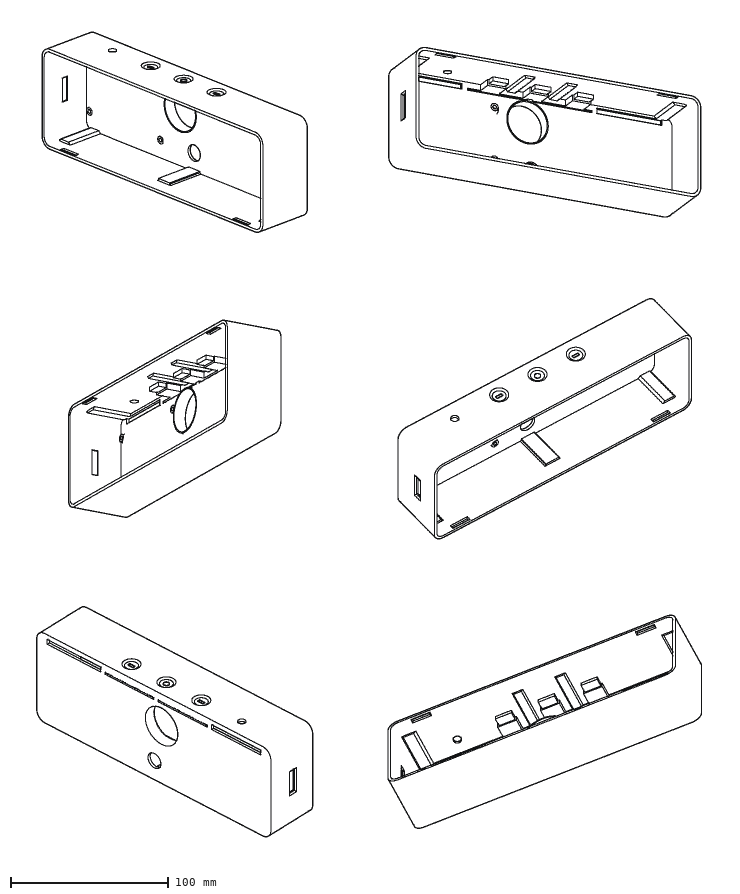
import cadquery as cq

LENGTH = 202.0
DEPTH = 39.5
HEIGHT = 69.0
WALL = 2.0
CORNER_RADIUS = 7.0

BACK_Y = DEPTH / 2
BACK_INNER_Y = BACK_Y - WALL
TOP_Z = HEIGHT / 2
CEILING_Z = TOP_Z - WALL
FLOOR_Z = -CEILING_Z
OVERCUT = 2.0

SLOT_BOTTOM_Z = 27.3
WIDE_SLOT_TOP_Z = 31.0
THIN_SLOT_TOP_Z = 28.5
WIDE_SLOTS = [(-92.1, -49.9), (45.9, 92.0)]
THIN_SLOTS = [(-45.9, -3.6), (0.2, 42.2)]

TUBE_X = -6.7
TUBE_Z = 9.7
TUBE_BORE_RADIUS = 14.0
TUBE_RADIUS = 14.7
TUBE_FLARE = 5.3
TUBE_HEIGHT = 6.5

CABLE_X = -0.6
CABLE_Z = -19.8
CABLE_RADIUS = 5.55

STANDOFF_XS = (-93.3, -28.3)
STANDOFF_ZS = (17.5, -18.4)
STANDOFF_RADIUS = 2.52
STANDOFF_FLARE = 2.32
STANDOFF_HEIGHT = 3.0
SCREW_RADIUS = 1.2

BUTTON_PITCH = 30.0
BUTTON_XS = (-BUTTON_PITCH, 0.0, BUTTON_PITCH)
BUTTON_Y = 7.9
DISH_RADIUS = 6.0
DISH_FLOOR_RADIUS = 4.5
DISH_DEPTH = 1.0
PLUNGER_WIDTH = 11.3
PLUNGER_BOTTOM_Z = 29.7
BACKING_WIDTH = 13.1
ICON_DEPTH = 0.5
ICON_RADIUS = 2.0
ICON_BAR_LENGTH = 4.5
ICON_BAR_WIDTH = 1.8

SENSOR_X = -65.0
SENSOR_RADIUS = 2.6

PAD_HEIGHT = CEILING_Z - WIDE_SLOT_TOP_Z
PAD_LENGTH = 26.9
CORNER_PAD_X = 91.5
CORNER_PAD_WIDTH = 10.5
CORNER_PAD_SLOPE = PAD_HEIGHT
CENTER_PAD_X = -0.5
CENTER_PAD_WIDTH = 10.3
CENTER_PAD_FOOT = 0.8
TOP_PAD_X = 15.0
TOP_PAD_WIDTH = 7.5
TOP_PAD_SLOPE = 1.0

RECESS_X = 78.8
RECESS_LENGTH = 13.3
RECESS_Y = -17.0
RECESS_WIDTH = 2.8
RECESS_DEPTH = 0.8
RECESS_BOTTOM_LENGTH = RECESS_LENGTH - 2 * RECESS_DEPTH
RECESS_BOTTOM_WIDTH = RECESS_WIDTH - 2 * RECESS_DEPTH

PORT_Y = -1.2
PORT_WIDTH = 4.5
PORT_HEIGHT = 16.5
PORT_BEVEL = 1.0


def box(x_range, y_range, z_range):
    """Axis-aligned box between the given limits."""
    size = [high - low for low, high in (x_range, y_range, z_range)]
    corner = (x_range[0], y_range[0], z_range[0])
    return cq.Workplane("XY").box(*size, centered=False).translate(corner)


def cylinder_y(x, z, radius, y_low, y_high):
    """Cylinder along Y."""
    plane = cq.Workplane("XZ", origin=(x, y_high, z))
    return plane.circle(radius).extrude(y_high - y_low)


def cylinder_z(x, y, radius, z_low, z_high):
    """Cylinder along Z."""
    return cq.Workplane("XY", origin=(x, y, z_low)).circle(radius).extrude(z_high - z_low)


def shell():
    """Rounded tray with walls of even thickness."""
    outer = cq.Workplane("XZ", origin=(0, BACK_Y, 0)).rect(LENGTH, HEIGHT).extrude(DEPTH)
    outer = outer.edges("|Y").fillet(CORNER_RADIUS)
    inner = (
        cq.Workplane("XZ", origin=(0, BACK_INNER_Y, 0))
        .rect(LENGTH - 2 * WALL, HEIGHT - 2 * WALL)
        .extrude(DEPTH)
        .edges("|Y")
        .fillet(CORNER_RADIUS - WALL)
    )
    return outer.cut(inner)


def flared_post(x, z, radius, flare, height):
    """Post standing on the back wall, with a concave flare at its foot.

    The profile is revolved about the Y axis and sinks into the wall by half its thickness.
    """
    root = WALL / 2
    mid = flare * (1 - 0.5**0.5)
    profile = (
        cq.Workplane("XY")
        .moveTo(0, root)
        .lineTo(radius + flare, root)
        .lineTo(radius + flare, 0)
        .threePointArc((radius + mid, -mid), (radius, -flare))
        .lineTo(radius, -height)
        .lineTo(0, -height)
        .close()
    )
    return profile.revolve(360, (0, 0, 0), (0, 1, 0)).translate((x, BACK_INNER_Y, z))


def pad(x, width, slope, on_ceiling, height=PAD_HEIGHT):
    """Trapezoidal pad on the floor or the ceiling; width is taken at its base."""
    base_z = CEILING_Z if on_ceiling else FLOOR_Z
    inward = -1 if on_ceiling else 1
    half = width / 2
    top_z = base_z + inward * height
    root_z = base_z - inward * WALL / 2
    points = [
        (x - half, root_z),
        (x - half, base_z),
        (x - half + slope, top_z),
        (x + half - slope, top_z),
        (x + half, base_z),
        (x + half, root_z),
    ]
    plane = cq.Workplane("XZ", origin=(0, BACK_INNER_Y, 0))
    return plane.polyline(points).close().extrude(PAD_LENGTH)


def recess(x, on_ceiling):
    """Tapered pocket cut outward into the floor or ceiling."""
    pocket = (
        cq.Workplane("XY")
        .rect(RECESS_LENGTH, RECESS_WIDTH)
        .workplane(offset=RECESS_DEPTH)
        .rect(RECESS_BOTTOM_LENGTH, RECESS_BOTTOM_WIDTH)
        .loft(ruled=True)
    ).translate((x, RECESS_Y, CEILING_Z))
    return pocket if on_ceiling else pocket.mirror("XY")


def button_body(x):
    """Plunger below the top wall and the block that ties it to the back wall."""
    plunger_half = PLUNGER_WIDTH / 2
    plunger = box(
        (x - plunger_half, x + plunger_half),
        (BUTTON_Y - plunger_half, BUTTON_Y + plunger_half),
        (PLUNGER_BOTTOM_Z, CEILING_Z),
    )
    backing_half = BACKING_WIDTH / 2
    backing = box(
        (x - backing_half, x + backing_half),
        (BUTTON_Y, BACK_INNER_Y),
        (THIN_SLOT_TOP_Z, CEILING_Z),
    )
    return plunger.union(backing)


def button_dish(x):
    """Conical finger dish in the top face."""
    return (
        cq.Workplane("XY", origin=(x, BUTTON_Y, TOP_Z - DISH_DEPTH))
        .circle(DISH_FLOOR_RADIUS)
        .workplane(offset=DISH_DEPTH)
        .circle(DISH_RADIUS)
        .loft(ruled=True)
    )


def button_icon(x):
    """Engraved mark in the dish: a disc on the middle button, a bar on the others."""
    bottom_z = TOP_Z - DISH_DEPTH - ICON_DEPTH
    plane = cq.Workplane("XY", origin=(x, BUTTON_Y, bottom_z))
    if x == 0:
        return plane.circle(ICON_RADIUS).extrude(ICON_DEPTH)
    return plane.rect(ICON_BAR_LENGTH, ICON_BAR_WIDTH).extrude(ICON_DEPTH)


def port():
    """Rectangular opening through the left wall, bevelled on the outside."""
    left_x = -LENGTH / 2
    half_width = PORT_WIDTH / 2
    half_height = PORT_HEIGHT / 2
    opening = box(
        (left_x, left_x + WALL + OVERCUT),
        (PORT_Y - half_width, PORT_Y + half_width),
        (-half_height, half_height),
    )
    bevel = (
        cq.Workplane("YZ", origin=(left_x, PORT_Y, 0))
        .rect(PORT_WIDTH + 2 * PORT_BEVEL, PORT_HEIGHT + 2 * PORT_BEVEL)
        .workplane(offset=PORT_BEVEL)
        .rect(PORT_WIDTH, PORT_HEIGHT)
        .loft(ruled=True)
    )
    return opening.union(bevel)


tube = flared_post(TUBE_X, TUBE_Z, TUBE_RADIUS, TUBE_FLARE, TUBE_HEIGHT)
tube = tube.cut(
    box((-LENGTH / 2, LENGTH / 2), (-DEPTH / 2, BACK_INNER_Y), (THIN_SLOT_TOP_Z, TOP_Z))
)
result = shell().union(tube)
for post_x in STANDOFF_XS:
    for post_z in STANDOFF_ZS:
        result = result.union(
            flared_post(post_x, post_z, STANDOFF_RADIUS, STANDOFF_FLARE, STANDOFF_HEIGHT)
        )
        screw_hole = cylinder_y(
            post_x, post_z, SCREW_RADIUS, BACK_INNER_Y - STANDOFF_HEIGHT, BACK_INNER_Y
        )
        result = result.cut(screw_hole)

center_foot_width = CENTER_PAD_WIDTH + 2 * CENTER_PAD_FOOT
result = result.union(pad(CENTER_PAD_X, CENTER_PAD_WIDTH, 0, False))
result = result.union(
    pad(CENTER_PAD_X, center_foot_width, CENTER_PAD_FOOT, False, height=CENTER_PAD_FOOT)
)
for pad_x in (-TOP_PAD_X, TOP_PAD_X):
    result = result.union(pad(pad_x, TOP_PAD_WIDTH, TOP_PAD_SLOPE, True))
for pad_x in (-CORNER_PAD_X, CORNER_PAD_X):
    for on_ceiling in (False, True):
        result = result.union(pad(pad_x, CORNER_PAD_WIDTH, CORNER_PAD_SLOPE, on_ceiling))

for recess_x in (-RECESS_X, RECESS_X):
    for on_ceiling in (False, True):
        result = result.cut(recess(recess_x, on_ceiling))

for button_x in BUTTON_XS:
    result = result.union(button_body(button_x))
    result = result.cut(button_dish(button_x))
    result = result.cut(button_icon(button_x))
result = result.cut(cylinder_z(SENSOR_X, BUTTON_Y, SENSOR_RADIUS, CEILING_Z - OVERCUT, TOP_Z))

for slots, slot_top_z in ((WIDE_SLOTS, WIDE_SLOT_TOP_Z), (THIN_SLOTS, THIN_SLOT_TOP_Z)):
    for slot_range in slots:
        slot = box(slot_range, (BACK_INNER_Y - TUBE_HEIGHT, BACK_Y), (SLOT_BOTTOM_Z, slot_top_z))
        result = result.cut(slot)
result = result.cut(
    cylinder_y(TUBE_X, TUBE_Z, TUBE_BORE_RADIUS, BACK_INNER_Y - TUBE_HEIGHT, BACK_Y)
)
result = result.cut(cylinder_y(CABLE_X, CABLE_Z, CABLE_RADIUS, BACK_INNER_Y, BACK_Y))

result = result.cut(port())